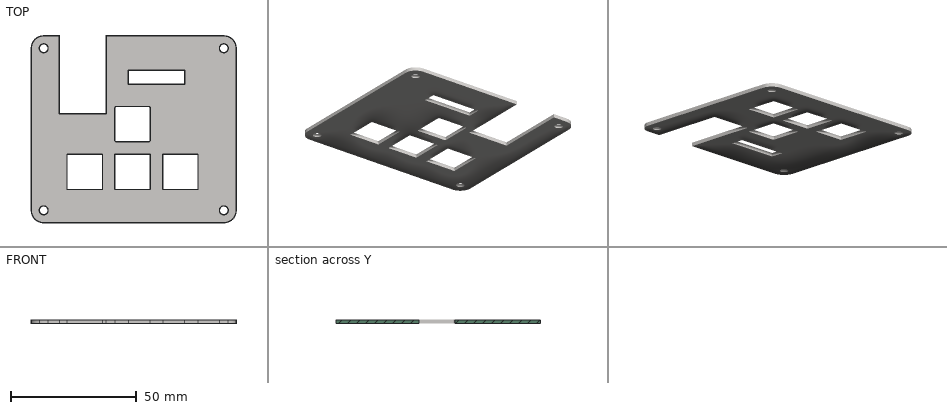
import cadquery as cq

length = 81.7
width = 74.5
thickness = 1.5
corner_radius = 5.0
hole_diameter = 3.4

key_size = 14.0
key_pitch = 19.0
key_corner_radius = 0.5
middle_key_x = -0.5
key_row_y = -17.0

notch_width = 18.6
notch_depth = 31.05
notch_center_x = -20.35

window_length = 22.4
window_width = 5.5
window_center = (9.1, 20.75)


def opening(size_x, size_y, center):
    """Rectangular cutter through the full plate thickness."""
    return cq.Workplane("XY").center(*center).rect(size_x, size_y).extrude(thickness)


plate = cq.Workplane("XY").rect(length, width).extrude(thickness)
plate = plate.edges("|Z").fillet(corner_radius)
hole_spacing_x = length - 2 * corner_radius
hole_spacing_y = width - 2 * corner_radius
plate = (
    plate.faces(">Z").workplane()
    .rect(hole_spacing_x, hole_spacing_y, forConstruction=True)
    .vertices()
    .hole(hole_diameter)
)

for column in (-1, 0, 1):
    key_center = (middle_key_x + column * key_pitch, key_row_y)
    plate = plate.cut(opening(key_size, key_size, key_center))

upper_key = opening(key_size, key_size, (middle_key_x, key_row_y + key_pitch))
plate = plate.cut(upper_key.edges("|Z").fillet(key_corner_radius))

notch_center = (notch_center_x, (width - notch_depth) / 2)
plate = plate.cut(opening(notch_width, notch_depth, notch_center))
plate = plate.cut(opening(window_length, window_width, window_center))

result = plate